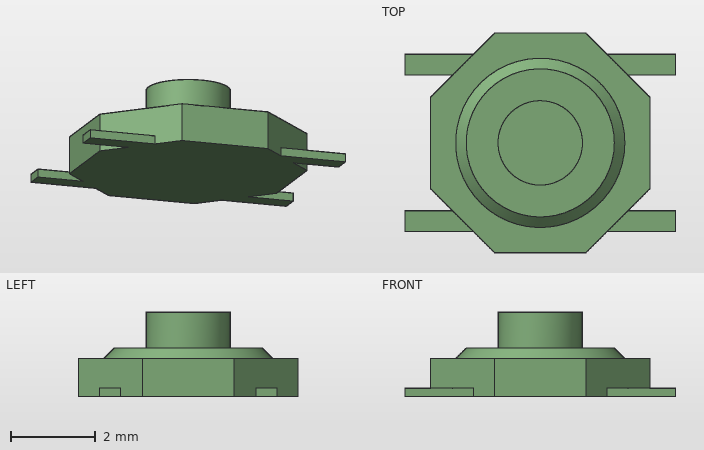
import cadquery as cq
import math

total_length = 6.4
total_height = 2.0

body_sides = 8
body_width = 5.2
body_height = 0.9

collar_base_diameter = 4.0
collar_top_diameter = 3.5
collar_height = 0.25

button_diameter = 2.0

terminal_width = 0.5
terminal_thickness = 0.2
terminal_offset = 1.85


def make_body():
    """Regular octagonal prism with flats square to X and Y."""
    corner_diameter = body_width / math.cos(math.pi / body_sides)
    return (
        cq.Workplane("XY")
        .transformed(rotate=(0, 0, 180 / body_sides))
        .polygon(body_sides, corner_diameter)
        .extrude(body_height)
    )


def make_collar():
    """Truncated cone sitting on the body."""
    collar_top = body_height + collar_height
    return (
        cq.Workplane("XZ")
        .moveTo(0, body_height)
        .lineTo(collar_base_diameter / 2, body_height)
        .lineTo(collar_top_diameter / 2, collar_top)
        .lineTo(0, collar_top)
        .close()
        .revolve(360, (0, 0, 0), (0, 1, 0))
    )


def make_button():
    """Round button rising from the body through the collar."""
    return (
        cq.Workplane("XY")
        .workplane(offset=body_height)
        .circle(button_diameter / 2)
        .extrude(total_height - body_height)
    )


def make_terminal_strip(y_center):
    """Strip crossing the body, with a terminal projecting at each end."""
    return (
        cq.Workplane("XY")
        .center(0, y_center)
        .rect(total_length, terminal_width)
        .extrude(terminal_thickness)
    )


result = make_body().union(make_collar()).union(make_button())
for side in (-1, 1):
    result = result.union(make_terminal_strip(side * terminal_offset))